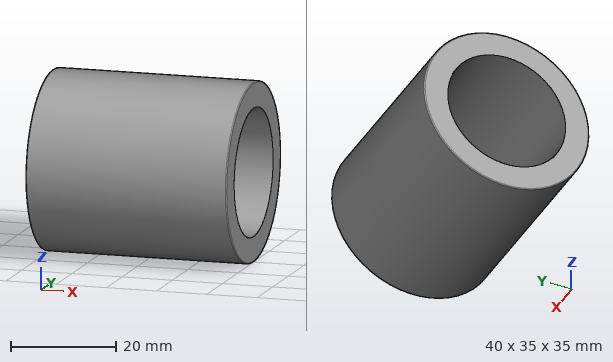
import cadquery as cq

length = 40.0
outer_diameter = 35.0
bore_diameter = 25.0
edge_radius = 0.2


def make_sleeve():
    """Tube wall revolved about the X axis."""
    wall_thickness = (outer_diameter - bore_diameter) / 2
    wall_mid_radius = (outer_diameter + bore_diameter) / 4
    return (
        cq.Workplane("XZ")
        .center(0, wall_mid_radius)
        .rect(length, wall_thickness)
        .revolve(360, (0, -wall_mid_radius), (1, -wall_mid_radius))
    )


def round_outer_edges(sleeve):
    """Round the outer edge at both ends, leaving the bore edges sharp."""
    outer_edges = sleeve.faces("<X or >X").edges(cq.selectors.RadiusNthSelector(-1))
    return outer_edges.fillet(edge_radius)


result = round_outer_edges(make_sleeve())